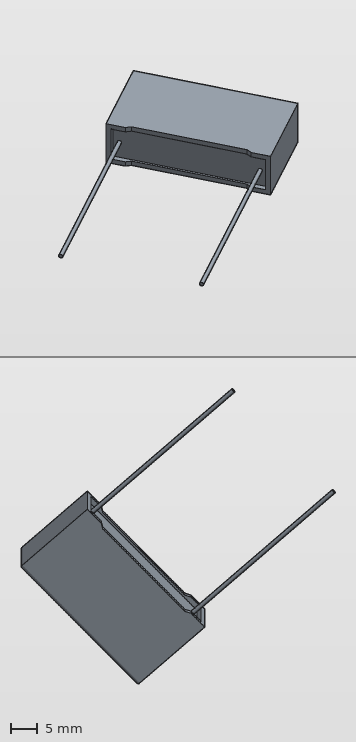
import cadquery as cq

case_width = 32.3
case_height = 9.2
overall_length = 52.1
lead_reach = 35.0
case_depth = overall_length - lead_reach

wall = 1.05
back_edge_radius = 0.4
notch_inset = 3.8
notch_ramp = 1.05
notch_depth = 0.55

potting_recess = 1.0
lead_diameter = 0.85
lead_spacing = 27.6

cavity_width = case_width - 2 * wall
cavity_height = case_height - 2 * wall
cavity_depth = case_depth - wall


def block(width, height, start_y, end_y):
    """Box centred in X and Z, running from start_y to end_y."""
    return cq.Workplane("XY").box(width, end_y - start_y, height).translate((0, (start_y + end_y) / 2, 0))


def make_case():
    """Open box with a rounded back and a ramped notch across the mouth of both broad walls."""
    shell = block(case_width, case_height, 0, case_depth).faces(">Y").edges().fillet(back_edge_radius)
    cavity = block(cavity_width, cavity_height, 0, cavity_depth)
    notch_mouth = case_width / 2 - notch_inset
    notch_floor = notch_mouth - notch_ramp
    notch = (
        cq.Workplane("XY")
        .polyline([
            (-notch_mouth, 0),
            (-notch_floor, notch_depth),
            (notch_floor, notch_depth),
            (notch_mouth, 0),
        ])
        .close()
        .extrude(case_height / 2, both=True)
    )
    return shell.cut(cavity).cut(notch)


def make_potting():
    """Solid fill of the cavity, set back from the mouth."""
    return block(cavity_width, cavity_height, potting_recess, cavity_depth)


def make_lead(x):
    """Round wire along -Y, standing on the face of the potting."""
    return (
        cq.Workplane("XZ", origin=(x, potting_recess, 0))
        .circle(lead_diameter / 2)
        .extrude(potting_recess + lead_reach)
    )


lead_positions = [-lead_spacing / 2, lead_spacing / 2]

case = make_case()
potting = make_potting()
leads = [make_lead(x) for x in lead_positions]

result = cq.Compound.makeCompound([case.val(), potting.val(), *[lead.val() for lead in leads]])